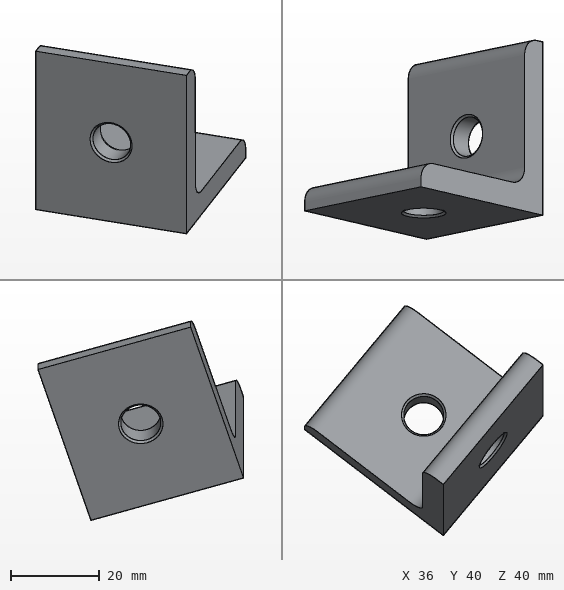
import cadquery as cq

width = 36.0
leg_length = 40.0
thickness = 6.0
round_radius = 4.0
hole_diameter = 9.0
chamfer_diameter = 10.0

chamfer_size = (chamfer_diameter - hole_diameter) / 2
hole_offset = leg_length / 2


def angle_bar():
    """L-section in YZ, extruded along X, heel edge at Y = Z = 0."""
    bar = (
        cq.Workplane("YZ")
        .moveTo(0, 0)
        .lineTo(leg_length, 0)
        .lineTo(leg_length, thickness)
        .lineTo(thickness, thickness)
        .lineTo(thickness, leg_length)
        .lineTo(0, leg_length)
        .close()
        .extrude(width / 2, both=True)
    )
    rounded_corners = [
        (leg_length, thickness),
        (thickness, thickness),
        (thickness, leg_length),
    ]
    for y, z in rounded_corners:
        bar = bar.edges(cq.selectors.NearestToPointSelector((0, y, z))).fillet(round_radius)
    return bar


def hole_cutter(direction, start):
    """Through hole with a chamfer at both faces of a leg."""
    radius = hole_diameter / 2
    mouth_radius = chamfer_diameter / 2
    cutter = cq.Solid.makeCylinder(radius, thickness, start, direction)
    entry = cq.Solid.makeCone(mouth_radius, radius, chamfer_size, start, direction)
    exit_start = start + direction * (thickness - chamfer_size)
    exit_cone = cq.Solid.makeCone(radius, mouth_radius, chamfer_size, exit_start, direction)
    return cutter.fuse(entry, exit_cone)


upright_hole = hole_cutter(cq.Vector(0, 1, 0), cq.Vector(0, 0, hole_offset))
base_hole = hole_cutter(cq.Vector(0, 0, 1), cq.Vector(0, hole_offset, 0))

result = angle_bar().cut(upright_hole).cut(base_hole)